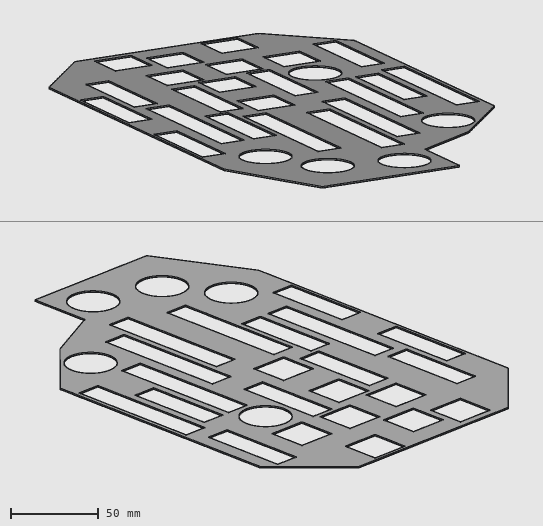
import cadquery as cq

length = 300.0
width = 200.0
thickness = 1.0

corner_cut = 40.0
top_edge_end_x = 200.0
shoulder_x = 240.0
nose_start_x = 260.0
nose_top_y = 120.0
nose_bottom_y = 30.0

hole_diameter = 30.3
square_side = 24.0
slot_width = 15.0
long_slot_length = 85.8
short_slot_length = 55.5

hole_centers = [
    (213.5, 162.0),
    (88.8, 146.5),
    (275.0, 98.0),
    (262.8, 55.0),
    (228.3, 34.0),
]
square_centers = [
    (56.5, 149.7),
    (14.0, 133.2),
    (54.3, 113.0),
    (25.5, 91.0),
    (85.2, 91.0),
    (130.0, 90.5),
    (58.0, 72.3),
    (16.5, 62.0),
]
long_slot_centers = [
    (144.5, 190.0),
    (150.3, 150.0),
    (186.0, 127.2),
    (202.0, 108.0),
    (191.0, 72.5),
    (149.5, 33.0),
]
short_slot_centers = [
    (62.7, 183.3),
    (135.0, 169.8),
    (97.2, 120.0),
    (106.0, 66.0),
    (164.7, 54.0),
    (72.5, 28.8),
    (184.0, 9.5),
    (100.0, 9.5),
]


def make_plate():
    outline = [
        (corner_cut, 0),
        (shoulder_x, 0),
        (length, nose_bottom_y),
        (length, nose_top_y),
        (nose_start_x, nose_top_y),
        (shoulder_x, width - corner_cut),
        (top_edge_end_x, width),
        (corner_cut, width),
        (0, width - corner_cut),
        (0, corner_cut),
    ]
    return cq.Workplane("XY").polyline(outline).close().extrude(thickness)


def rectangular_cutters(centers, size_x, size_y):
    return cq.Workplane("XY").pushPoints(centers).rect(size_x, size_y).extrude(thickness)


def round_cutters(centers, diameter):
    return cq.Workplane("XY").pushPoints(centers).circle(diameter / 2).extrude(thickness)


result = (
    make_plate()
    .cut(round_cutters(hole_centers, hole_diameter))
    .cut(rectangular_cutters(square_centers, square_side, square_side))
    .cut(rectangular_cutters(long_slot_centers, long_slot_length, slot_width))
    .cut(rectangular_cutters(short_slot_centers, short_slot_length, slot_width))
)